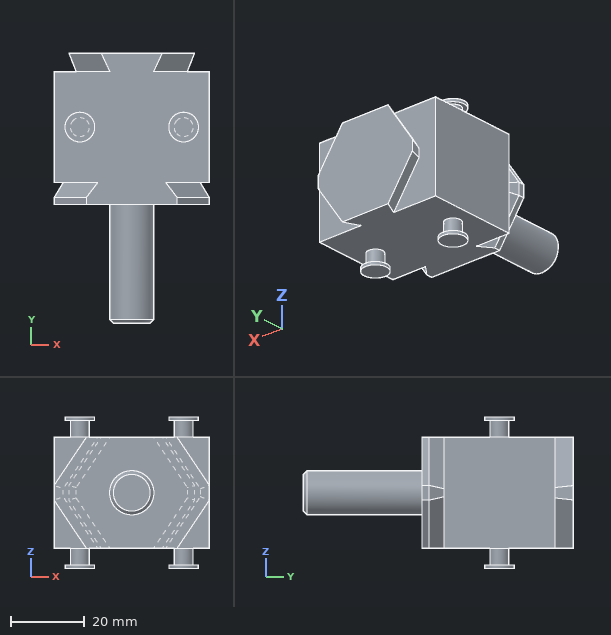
import cadquery as cq

body_width = 42.0
body_depth = 30.0
body_height = 30.0
total_length = 73

facet_slope = 1.49
back_depth = 4.95
back_root_half_width = 15.0
back_root_half_flat = 5.9
back_end_half_width = 17.0
back_end_half_flat = 8.25
front_depth = 6.0
rim_thickness = 2.0
front_root_half_width = 18.55
front_root_half_flat = 9.2
front_end_half_width = body_width / 2
front_end_half_flat = 12.25

shaft_diameter = 12.0
shaft_chamfer = 1.0
shaft_length = total_length - body_depth - back_depth - front_depth

overall_height = 41.0
pin_offset = 14.0
pin_diameter = 5.1
pin_head_diameter = 8
pin_head_thickness = 1.0
pin_height = (overall_height - body_height) / 2

front_face = -body_depth / 2
back_face = body_depth / 2


def octagon(y, half_width, half_flat):
    """Octagonal wire at the given Y, as tall as the block."""
    half_height = body_height / 2
    half_side = half_height - facet_slope * (half_width - half_flat)
    outline = [
        (half_flat, half_height),
        (half_width, half_side),
        (half_width, -half_side),
        (half_flat, -half_height),
        (-half_flat, -half_height),
        (-half_width, -half_side),
        (-half_width, half_side),
        (-half_flat, half_height),
    ]
    return cq.Wire.makePolygon([cq.Vector(x, y, z) for x, z in outline], close=True)


def tapered_section(start, end):
    """Straight-sided solid between two octagonal wires."""
    return cq.Workplane(cq.Solid.makeLoft([start, end], True))


def back_dovetail():
    return tapered_section(
        octagon(back_face, back_root_half_width, back_root_half_flat),
        octagon(back_face + back_depth, back_end_half_width, back_end_half_flat),
    )


def front_dovetail():
    """Flaring neck followed by a rim of constant section."""
    rim_start = front_face - front_depth + rim_thickness
    rim_end = front_face - front_depth
    neck = tapered_section(
        octagon(front_face, front_root_half_width, front_root_half_flat),
        octagon(rim_start, front_end_half_width, front_end_half_flat),
    )
    rim = tapered_section(
        octagon(rim_start, front_end_half_width, front_end_half_flat),
        octagon(rim_end, front_end_half_width, front_end_half_flat),
    )
    return neck.union(rim)


def shaft():
    return (
        cq.Workplane("XZ", origin=(0, front_face - front_depth, 0))
        .circle(shaft_diameter / 2)
        .extrude(shaft_length)
        .faces("<Y")
        .chamfer(shaft_chamfer)
    )


def pin(x, side):
    """Headed pin at x; side is 1 for the top face and -1 for the bottom face."""
    stem = (
        cq.Workplane("XY", origin=(x, 0, side * body_height / 2))
        .circle(pin_diameter / 2)
        .extrude(side * pin_height)
    )
    head = (
        cq.Workplane("XY", origin=(x, 0, side * overall_height / 2))
        .circle(pin_head_diameter / 2)
        .extrude(-side * pin_head_thickness)
    )
    return stem.union(head)


result = cq.Workplane("XY").box(body_width, body_depth, body_height)
result = result.union(back_dovetail()).union(front_dovetail()).union(shaft())
for pin_x in (-pin_offset, pin_offset):
    for pin_side in (-1, 1):
        result = result.union(pin(pin_x, pin_side))